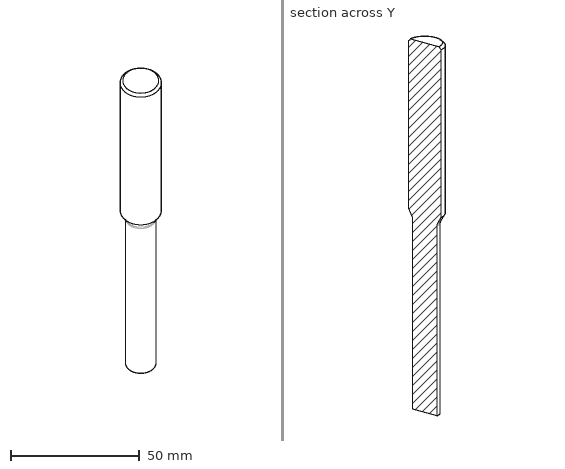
import cadquery as cq
import math

total_length = 154.3
head_radius = 16.0 / 2
stem_radius = 12.0 / 2
top_chamfer = 1.1

head_bottom = 83.3
shoulder_angle = math.radians(30)
shoulder_fillet = 2.0

shoulder_height = (head_radius - stem_radius) / math.tan(shoulder_angle)
stem_top = head_bottom - shoulder_height

tangent_length = shoulder_fillet * math.tan(shoulder_angle / 2)
fillet_bottom = stem_top - tangent_length


def fillet_point(angle):
    """Point on the fillet arc, at an angle turned from its end on the stem."""
    return (
        stem_radius + shoulder_fillet * (1 - math.cos(angle)),
        fillet_bottom + shoulder_fillet * math.sin(angle),
    )


profile = (
    cq.Workplane("XZ")
    .lineTo(stem_radius, 0)
    .lineTo(stem_radius, fillet_bottom)
    .threePointArc(fillet_point(shoulder_angle / 2), fillet_point(shoulder_angle))
    .lineTo(head_radius, head_bottom)
    .lineTo(head_radius, total_length - top_chamfer)
    .lineTo(head_radius - top_chamfer, total_length)
    .lineTo(0, total_length)
    .close()
)

result = profile.revolve(360, (0, 0, 0), (0, 1, 0))